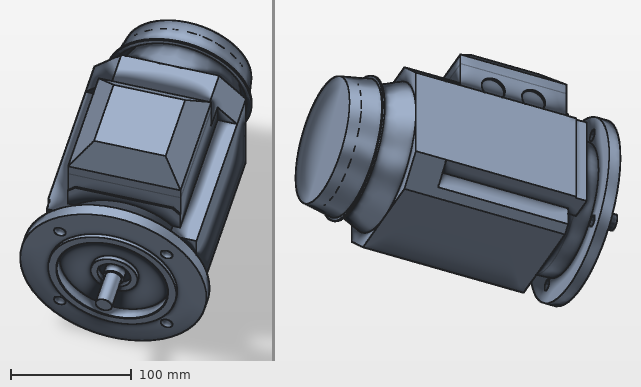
import cadquery as cq


overall_length = 264.5

shaft_radius = 7.0
shaft_length = 30.0
journal_radius = 8.7
shoulder_y = 0

flange_radius = 80.0
flange_thickness = 10.3
spigot_radius = 55.0
spigot_height = 3.5
recess_radius = 47.5
recess_chamfer = 0.5
recess_floor_y = 6.5
collar_radius = 20.0
collar_height = 4.0
bore_radius = 14.3
bore_floor_y = 8.0
bolt_hole_radius = 5.0
bolt_circle_radius = 64.8
bolt_count = 4
first_bolt_angle = 45

shield_radius = 59.2
shield_front_radius = 58.5
shield_shoulder_y = 25.7

frame_half_width = 65.0
frame_flat_half_width = 41.92
frame_front_y = 33.3
frame_rear_y = 179.0
corner_recess_rear_y = 151.3

wing_front_y = 23.3
wing_left_step = 1.5

box_half_width = 48.27
box_front_y = 34.6
lid_joint_z = 80.5
lid_edge_z = 90.0
lid_top_z = 108.5
lid_top_half_width = 30.7
entry_radius = 10.5
entry_count = 2
entry_spacing = 36.5
entry_z = 63.5
entry_depth = 2.0
box_rear_y = box_front_y + 2 * box_half_width
box_center_y = box_front_y + box_half_width

cover_end_radius = 47.0
hood_rear_y = overall_length - shaft_length
hood_rear_radius = 54.8
hood_mouth_y = 206.0
hood_mouth_radius = 59.8
hood_wall = 1.3
hood_cavity_end_radius = 55.5
hood_cavity_end_y = 224.3
rim_radius = 62.5
rim_thickness = 1.5


def revolve_about_y(points):
    """Solid of revolution about Y from (radius, y) points, drawn in the plane X = 0."""
    outline = [(y, radius) for radius, y in points]
    return cq.Workplane("YZ").polyline(outline).close().revolve(360, (0, 0, 0), (1, 0, 0))


def box_between(low, high):
    """Box from its lowest to its highest corner."""
    size = [b - a for a, b in zip(low, high)]
    return cq.Workplane("XY").box(*size, centered=False).translate(low)


def make_flange():
    return revolve_about_y([
        (0, bore_floor_y),
        (bore_radius, bore_floor_y),
        (bore_radius, recess_floor_y - collar_height),
        (collar_radius, recess_floor_y - collar_height),
        (collar_radius, recess_floor_y),
        (recess_radius, recess_floor_y),
        (recess_radius, recess_chamfer - spigot_height),
        (recess_radius + recess_chamfer, -spigot_height),
        (spigot_radius, -spigot_height),
        (spigot_radius, 0),
        (flange_radius, 0),
        (flange_radius, flange_thickness),
        (shield_front_radius, flange_thickness),
        (shield_radius, shield_shoulder_y),
        (shield_radius, frame_front_y),
        (0, frame_front_y),
    ])


def make_bolt_holes():
    return (
        cq.Workplane("XZ", origin=(0, flange_thickness, 0))
        .polarArray(bolt_circle_radius, first_bolt_angle, 360, bolt_count)
        .circle(bolt_hole_radius)
        .extrude(flange_thickness)
    )


def make_frame():
    chamfer = frame_half_width - frame_flat_half_width
    frame = box_between(
        (-frame_half_width, frame_front_y, -frame_half_width),
        (frame_half_width, frame_rear_y, frame_half_width),
    ).edges("|Y").chamfer(chamfer)
    for x_side in (-1, 1):
        for z_side in (-1, 1):
            x_limits = sorted((x_side * box_half_width, x_side * frame_half_width))
            z_limits = sorted((z_side * frame_flat_half_width, z_side * frame_half_width))
            frame = frame.cut(box_between(
                (x_limits[0], frame_front_y, z_limits[0]),
                (x_limits[1], corner_recess_rear_y, z_limits[1]),
            ))
    return frame


def make_wings():
    return box_between(
        (wing_left_step - frame_half_width, wing_front_y, -frame_flat_half_width),
        (frame_half_width, frame_front_y, frame_flat_half_width),
    )


def make_terminal_box():
    return box_between(
        (-box_half_width, box_front_y, 0),
        (box_half_width, box_rear_y, lid_joint_z),
    )


def make_lid():
    edge = box_between(
        (-box_half_width, box_front_y, lid_joint_z),
        (box_half_width, box_rear_y, lid_edge_z),
    )
    top = (
        cq.Workplane("XY", origin=(0, box_center_y, lid_edge_z))
        .rect(2 * box_half_width, 2 * box_half_width)
        .workplane(offset=lid_top_z - lid_edge_z)
        .rect(2 * lid_top_half_width, 2 * lid_top_half_width)
        .loft(ruled=True)
    )
    return edge.union(top)


def make_cable_entries():
    return (
        cq.Workplane("YZ", origin=(-box_half_width, box_center_y, entry_z))
        .rarray(entry_spacing, 2.6, entry_count, 1)
        .circle(entry_radius)
        .extrude(entry_depth)
    )


def make_fan_cover():
    """Tapered cover with a hood whose open mouth faces the frame."""
    rim_rear_y = hood_mouth_y + rim_thickness
    return revolve_about_y([
        (0, frame_rear_y),
        (frame_half_width, frame_rear_y),
        (cover_end_radius, hood_cavity_end_y),
        (hood_cavity_end_radius, hood_cavity_end_y),
        (hood_mouth_radius - hood_wall, hood_mouth_y),
        (rim_radius, hood_mouth_y),
        (rim_radius, rim_rear_y),
        (hood_mouth_radius, rim_rear_y),
        (hood_rear_radius, hood_rear_y),
        (0, hood_rear_y),
    ])


def make_shaft():
    return revolve_about_y([
        (0, -shaft_length),
        (shaft_radius, -shaft_length),
        (shaft_radius, shoulder_y),
        (journal_radius, shoulder_y),
        (journal_radius, bore_floor_y),
        (0, bore_floor_y),
    ])


housing = (
    make_frame()
    .union(make_flange().union(make_wings()).cut(make_bolt_holes()))
    .union(make_fan_cover())
    .union(make_terminal_box())
    .cut(make_cable_entries())
    .union(make_lid(), clean=False)
)
shaft = make_shaft()

result = cq.Compound.makeCompound([housing.val(), shaft.val()])